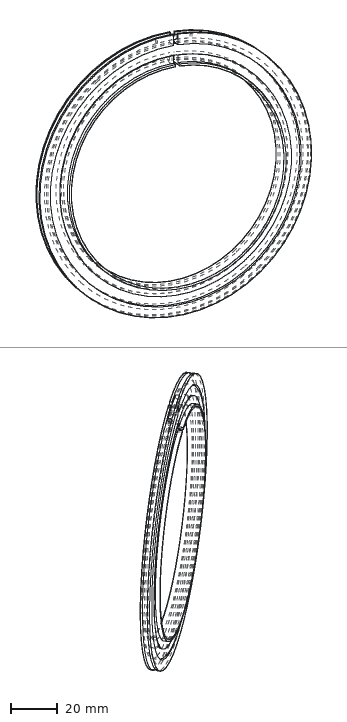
import cadquery as cq
import math

outer_radius = 64.0
web_width = 4.1
split_width = 2.0

seal_section_radius = 2.5
seal_center_radius = 56.6
seal_inner_radius = seal_center_radius - seal_section_radius
seal_outer_radius = seal_center_radius + seal_section_radius

bore_radius = 50.0
lip_wall = 1.0
lip_radius = bore_radius + lip_wall
lip_width = 8.0
seat_edge_radius = 54.5

channel_width = 2.0
pin_radius = channel_width / 2
pin_center_radius = 62.1
channel_floor_radius = pin_center_radius - pin_radius
pin_length = 16.4


def split_cutter():
    """A block that opens a ring at +Z, over the full width of the part."""
    return cq.Workplane("XY").rect(lip_width, split_width).extrude(outer_radius)


def make_inner_ring():
    """A ring of T-shaped section: the lip around the bore, the web outwards to a concave seat."""
    profile = (
        cq.Workplane("XZ")
        .moveTo(-lip_width / 2, bore_radius)
        .lineTo(lip_width / 2, bore_radius)
        .lineTo(lip_width / 2, lip_radius)
        .lineTo(web_width / 2, lip_radius)
        .lineTo(web_width / 2, seat_edge_radius)
        .threePointArc((0, seal_inner_radius), (-web_width / 2, seat_edge_radius))
        .lineTo(-web_width / 2, lip_radius)
        .lineTo(-lip_width / 2, lip_radius)
        .close()
    )
    return profile.revolve(360, (0, 0, 0), (1, 0, 0)).cut(split_cutter())


def make_outer_ring():
    """A ring with a round-bottomed rim channel that fits the pin."""
    profile = (
        cq.Workplane("XZ")
        .moveTo(-web_width / 2, seal_outer_radius)
        .lineTo(web_width / 2, seal_outer_radius)
        .lineTo(web_width / 2, outer_radius)
        .lineTo(channel_width / 2, outer_radius)
        .lineTo(channel_width / 2, pin_center_radius)
        .threePointArc((0, channel_floor_radius), (-channel_width / 2, pin_center_radius))
        .lineTo(-channel_width / 2, outer_radius)
        .lineTo(-web_width / 2, outer_radius)
        .close()
    )
    return profile.revolve(360, (0, 0, 0), (1, 0, 0)).cut(split_cutter())


def make_seal_ring():
    section = cq.Workplane("XY").center(0, seal_center_radius).circle(seal_section_radius)
    return section.revolve(360, (0, -seal_center_radius, 0), (1, -seal_center_radius, 0))


def make_pin():
    """A round pin curved to lie in the rim channel, centred on the split."""
    half_angle = math.degrees(math.asin(pin_length / 2 / pin_center_radius))
    section = cq.Workplane("XZ").center(0, pin_center_radius).circle(pin_radius)
    pin = section.revolve(2 * half_angle, (0, -pin_center_radius, 0), (1, -pin_center_radius, 0))
    return pin.rotate((0, 0, 0), (1, 0, 0), -half_angle)


inner_ring = make_inner_ring()
outer_ring = make_outer_ring()
seal_ring = make_seal_ring()
pin = make_pin()

result = cq.Compound.makeCompound([inner_ring.val(), outer_ring.val(), seal_ring.val(), pin.val()])